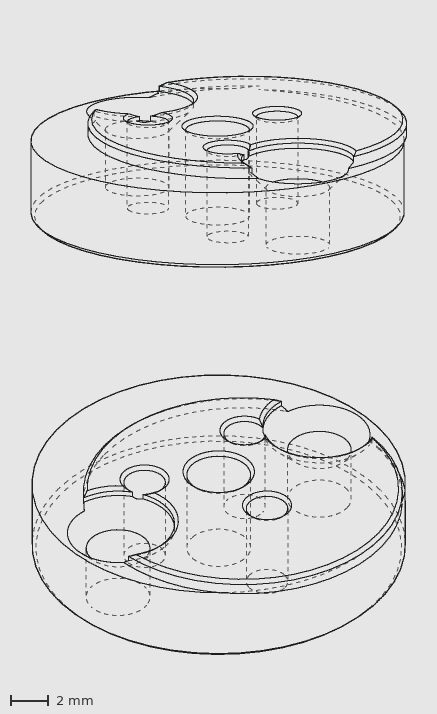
import cadquery as cq
import math

base_radius = 9.949
base_height = 4.2
boss_radius = 8.497
boss_height = 0.8
edge_chamfer = 0.2
total_height = base_height + boss_height
overall_depth = 20.45
boss_center_y = overall_depth - base_radius - boss_radius

main_hole_radius = 1.7
small_hole_radius = 1.1
small_hole_circle_radius = 4.0
small_hole_count = 3

screw_hole_x = 7.0
screw_hole_radius = 1.7
screw_head_radius = 3.0
screw_mouth_depth = 0.5


def make_base():
    return cq.Workplane("XY").circle(base_radius).extrude(base_height).faces("<Z").chamfer(edge_chamfer)


def make_boss():
    boss = cq.Workplane("XY", origin=(0, boss_center_y, base_height)).circle(boss_radius).extrude(boss_height)
    return boss.faces(">Z").chamfer(edge_chamfer)


def make_boss_foot():
    """Sloped foot of the boss, kept over the base on its -X, +Y quarter only."""
    cone = cq.Solid.makeCone(
        boss_radius + edge_chamfer,
        boss_radius,
        edge_chamfer,
        pnt=cq.Vector(0, boss_center_y, base_height),
    )
    base_outline = cq.Workplane("XY").circle(base_radius).extrude(total_height)
    quarter = cq.Workplane("XY").rect(-base_radius, base_radius, centered=False).extrude(total_height)
    return cq.Workplane(cone).intersect(base_outline).intersect(quarter)


def turned_cutter(x, y, profile):
    """Revolve a (radius, height) profile about the vertical axis through (x, y)."""
    cutter = cq.Workplane("XZ").polyline(profile).close().revolve(360, (0, 0), (0, 1))
    return cutter.translate((x, y, 0))


def chamfered_hole(x, y, radius):
    profile = [
        (0, 0),
        (radius, 0),
        (radius, total_height - edge_chamfer),
        (radius + edge_chamfer, total_height),
        (0, total_height),
    ]
    return turned_cutter(x, y, profile)


def screw_hole(x):
    cone_top = total_height - screw_mouth_depth
    cone_bottom = cone_top - (screw_head_radius - screw_hole_radius)
    profile = [
        (0, 0),
        (screw_hole_radius, 0),
        (screw_hole_radius, cone_bottom),
        (screw_head_radius, cone_top),
        (screw_head_radius, total_height - edge_chamfer),
        (screw_head_radius + edge_chamfer, total_height),
        (0, total_height),
    ]
    return turned_cutter(x, 0, profile)


result = make_base().union(make_boss()).union(make_boss_foot())

result = result.cut(chamfered_hole(0, 0, main_hole_radius))

for index in range(small_hole_count):
    angle = math.pi / 2 + index * 2 * math.pi / small_hole_count
    hole_x = small_hole_circle_radius * math.cos(angle)
    hole_y = small_hole_circle_radius * math.sin(angle)
    result = result.cut(chamfered_hole(hole_x, hole_y, small_hole_radius))

for side in (-1, 1):
    result = result.cut(screw_hole(side * screw_hole_x))